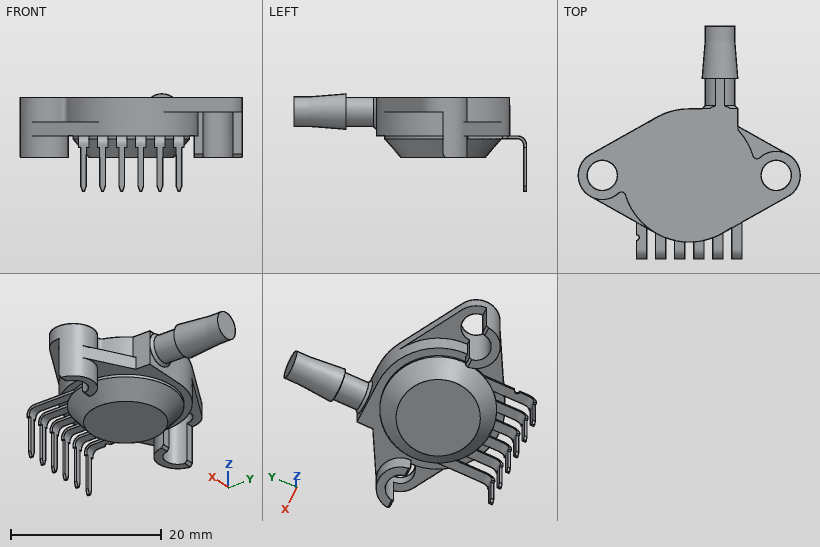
import cadquery as cq
import math

overall_length = 30.9

body_height = 5.1
flange_thickness = 1.95
web_top = -3.25
post_bottom = -8.0

body_radius = 17.7 / 2
hole_spacing = 23.07
ear_offset = hole_spacing / 2
ear_radius = 6.4 / 2
hole_diameter = 4.0
ear_blend_radius = 0.55
post_chamfer_width = 0.3
post_chamfer_height = 0.45

base_top_radius = 7.75
base_bottom_radius = 5.6

barb_x = 4.08
barb_z = -1.88
barb_radius = 1.98
barb_shoulder_radius = 2.38
barb_shoulder_y = 12.85
barb_cone_end_y = 17.82
barb_tip_y = 19.8
barb_flare = 0.4

lead_count = 6
lead_pitch = 2.53
lead_thickness = 0.4
lead_width = 1.4
lead_inner_y = -3.1
lead_outer_y = barb_tip_y - overall_length
bend_radius = 2.5 / 2
lead_shoulder_z = -6.65
pin_width = 0.77
pin_tip_width = 0.25
pin_taper_z = -11.75
pin_tip_z = -12.48
notch_radius = 0.37
notch_y = -8.25

overlap = 0.3


def polar(center_x, radius, angle):
    """Point on a circle centred on (center_x, 0), angle in radians from +X."""
    return (center_x + radius * math.cos(angle), radius * math.sin(angle))


def arc_to(sketch, center_x, radius, start, end):
    """Continue the outline along a circle centred on (center_x, 0)."""
    middle = polar(center_x, radius, (start + end) / 2)
    return sketch.threePointArc(middle, polar(center_x, radius, end))


def layer(z_bottom, z_top, flanged, webbed):
    """Slice of the housing: the X > 0 half and the same half turned 180 degrees about Z.

    Flanged layers carry the ear and its straight side on the -Y side of the X axis.
    On the +Y side the ear meets the body with a straight web or a concave blend.
    """
    quarter = math.pi / 2
    tangent_angle = math.acos((body_radius - ear_radius) / ear_offset)
    half = cq.Workplane("XY", origin=(0, 0, z_bottom)).moveTo(0, -body_radius)

    if flanged:
        half = arc_to(half, 0, body_radius, -quarter, -tangent_angle)
        half = half.lineTo(*polar(ear_offset, ear_radius, -tangent_angle))
        half = arc_to(half, ear_offset, ear_radius, -tangent_angle, 0)
    else:
        half = arc_to(half, 0, body_radius, -quarter, 0)
        half = half.lineTo(ear_offset + ear_radius, 0)

    if webbed:
        half = arc_to(half, ear_offset, ear_radius, 0, tangent_angle)
        half = half.lineTo(*polar(0, body_radius, tangent_angle))
        half = arc_to(half, 0, body_radius, tangent_angle, quarter)
    else:
        body_reach = body_radius + ear_blend_radius
        ear_reach = ear_radius + ear_blend_radius
        blend_x = (body_reach**2 - ear_reach**2 + ear_offset**2) / (2 * ear_offset)
        blend_y = math.sqrt(body_reach**2 - blend_x**2)
        body_angle = math.atan2(blend_y, blend_x)
        ear_angle = math.atan2(blend_y, blend_x - ear_offset)
        half = arc_to(half, ear_offset, ear_radius, 0, ear_angle)
        half = half.threePointArc(
            (blend_x, blend_y - ear_blend_radius),
            polar(0, body_radius, body_angle),
        )
        half = arc_to(half, 0, body_radius, body_angle, quarter)

    half = half.close().extrude(z_top - z_bottom)
    return half.union(half.rotate((0, 0, 0), (0, 0, 1), 180))


def half_post(side):
    """Half-round post below an ear, with a chamfer along its flat face's lower edge."""
    profile = [
        (0, -body_height),
        (side * ear_radius, -body_height),
        (side * ear_radius, post_bottom),
        (side * post_chamfer_width, post_bottom),
        (0, post_bottom + post_chamfer_height),
    ]
    keep = (
        cq.Workplane("YZ", origin=(side * ear_offset, 0, 0))
        .polyline(profile)
        .close()
        .extrude(ear_radius + overlap, both=True)
    )
    post = (
        cq.Workplane("XY", origin=(side * ear_offset, 0, -body_height))
        .circle(ear_radius)
        .extrude(post_bottom + body_height)
    )
    return post.intersect(keep)


def housing():
    """Flanged body with its half-round posts and square corner."""
    body = layer(-flange_thickness, 0, flanged=True, webbed=False)
    body = body.union(layer(web_top, -flange_thickness, flanged=False, webbed=False))
    body = body.union(layer(-body_height, web_top, flanged=False, webbed=True))
    for side in (-1, 1):
        body = body.union(half_post(side))

    corner_x = barb_x + barb_radius + barb_flare
    corner = cq.Workplane("XY").rect(corner_x, body_radius, centered=False).extrude(-body_height)
    return body.union(corner)


def tapered_base():
    """Short cylinder as deep as the leads, then a cone down to the post feet."""
    rim_z = -body_height - lead_thickness
    return (
        cq.Workplane("XZ")
        .polyline([
            (0, -body_height),
            (base_top_radius, -body_height),
            (base_top_radius, rim_z),
            (base_bottom_radius, post_bottom),
            (0, post_bottom),
        ])
        .close()
        .revolve(360, (0, 0, 0), (0, 1, 0))
    )


def barb():
    """Hose barb turned about a Y axis; its neck is cut flat, flush with the top face."""
    neck = [
        (0, body_radius - overlap),
        (barb_radius + barb_flare, body_radius - overlap),
        (barb_radius + barb_flare, body_radius),
        (barb_radius, body_radius + barb_flare),
        (barb_radius, barb_shoulder_y),
        (0, barb_shoulder_y),
    ]
    nozzle = [
        (0, barb_shoulder_y),
        (barb_shoulder_radius, barb_shoulder_y),
        (barb_radius, barb_cone_end_y),
        (barb_radius, barb_tip_y),
        (0, barb_tip_y),
    ]

    def turn(profile):
        plane = cq.Workplane("XY", origin=(barb_x, 0, barb_z))
        return plane.polyline(profile).close().revolve(360, (0, 0, 0), (0, 1, 0))

    above_top = (
        cq.Workplane("XY")
        .rect(overall_length, 2 * barb_tip_y)
        .extrude(barb_shoulder_radius)
    )
    return turn(neck).cut(above_top).union(turn(nozzle))


def lead(x):
    """Flat strip leaving the body, bent down and narrowed to a pointed pin."""
    top = -body_height
    bend_y = lead_outer_y + bend_radius
    bend_z = top - bend_radius
    inner_radius = bend_radius - lead_thickness
    diagonal = math.cos(math.pi / 4)
    strip = (
        cq.Workplane("YZ", origin=(x, 0, 0))
        .moveTo(lead_inner_y, top)
        .lineTo(bend_y, top)
        .threePointArc(
            (bend_y - bend_radius * diagonal, bend_z + bend_radius * diagonal),
            (lead_outer_y, bend_z),
        )
        .lineTo(lead_outer_y, pin_tip_z)
        .lineTo(lead_outer_y + lead_thickness, pin_tip_z)
        .lineTo(lead_outer_y + lead_thickness, bend_z)
        .threePointArc(
            (bend_y - inner_radius * diagonal, bend_z + inner_radius * diagonal),
            (bend_y, top - lead_thickness),
        )
        .lineTo(lead_inner_y, top - lead_thickness)
        .close()
        .extrude(lead_width / 2, both=True)
    )
    front_outline = (
        cq.Workplane("XZ", origin=(x, 0, 0))
        .polyline([
            (-lead_width / 2, top),
            (-lead_width / 2, lead_shoulder_z),
            (-pin_width / 2, lead_shoulder_z),
            (-pin_width / 2, pin_taper_z),
            (-pin_tip_width / 2, pin_tip_z),
            (pin_tip_width / 2, pin_tip_z),
            (pin_width / 2, pin_taper_z),
            (pin_width / 2, lead_shoulder_z),
            (lead_width / 2, lead_shoulder_z),
            (lead_width / 2, top),
        ])
        .close()
        .extrude(-lead_outer_y)
    )
    return strip.intersect(front_outline)


result = housing().union(tapered_base()).union(barb())

ear_holes = (
    cq.Workplane("XY")
    .pushPoints([(-ear_offset, 0), (ear_offset, 0)])
    .circle(hole_diameter / 2)
    .extrude(post_bottom)
)
result = result.cut(ear_holes)

first_lead_x = -lead_pitch * (lead_count - 1) / 2
for index in range(lead_count):
    result = result.union(lead(first_lead_x + index * lead_pitch))

notch = (
    cq.Workplane("XY", origin=(first_lead_x - lead_width / 2, notch_y, -body_height))
    .circle(notch_radius)
    .extrude(-lead_thickness)
)
result = result.cut(notch)